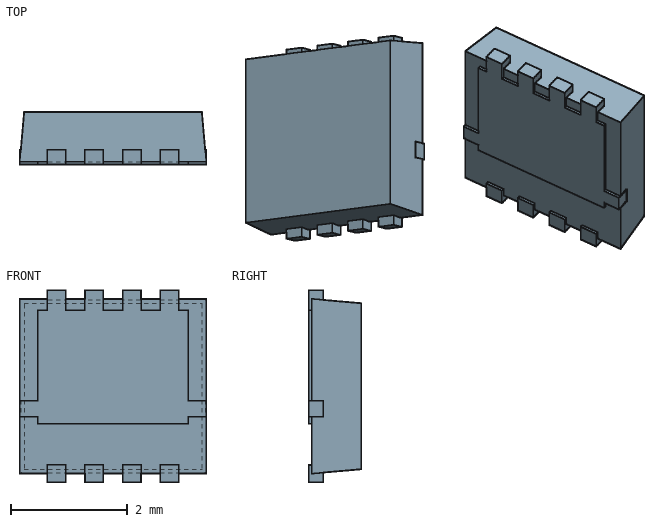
import cadquery as cq
import math

width = 3.2
depth = 0.9
height = 3.3
contact_face = -depth / 2

standoff = 0.05
body_height = 3.0
draft_angle = 5.0
body_depth = depth - standoff

lead_count = 4
lead_pitch = 0.647
lead_width = 0.32
lead_depth = 0.25
lead_length = 0.3

pad_width = 2.587
pad_top = 1.3
pad_bottom = -0.647
tie_bar_top = -0.248
tie_bar_bottom = -0.525


def contact_block(x_center, x_size, z_bottom, z_top, y_size):
    """Block reaching from the contact face into the body."""
    return (
        cq.Workplane("XY")
        .box(x_size, y_size, z_top - z_bottom, centered=(True, False, False))
        .translate((x_center, contact_face, z_bottom))
    )


def make_body():
    """Rectangular frustum, largest at the contact side."""
    inset = body_depth * math.tan(math.radians(draft_angle))
    return (
        cq.Workplane("XZ", origin=(0, contact_face + standoff, 0))
        .rect(width, body_height)
        .workplane(offset=-body_depth)
        .rect(width - 2 * inset, body_height - 2 * inset)
        .loft(ruled=True)
    )


result = make_body()

result = result.union(contact_block(0, pad_width, pad_bottom, pad_top, standoff))
result = result.union(contact_block(0, width, tie_bar_bottom, tie_bar_top, lead_depth))

for index in range(lead_count):
    lead_x = (index - (lead_count - 1) / 2) * lead_pitch
    top_lead = contact_block(lead_x, lead_width, pad_top, height / 2, lead_depth)
    bottom_lead = contact_block(lead_x, lead_width, -height / 2, -height / 2 + lead_length, lead_depth)
    result = result.union(top_lead).union(bottom_lead)